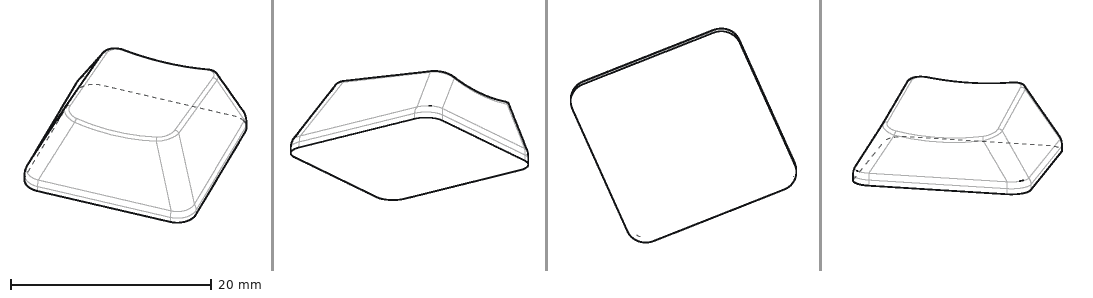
import cadquery as cq
import math

BASE_SIZE = 18.16
BASE_CORNER_RADIUS = 2.0
SKIRT_HEIGHT = 0.62

SHOULDER_HEIGHT = 0.7
SHOULDER_STEPS = 2

RIM_TILT = 7.0
RIM_WIDTH = 11.5
RIM_FRONT_Y = -5.35
RIM_BACK_Y = 8.62
RIM_CORNER_RADIUS = 1.8
RIM_HEIGHT = 7.34
TOUCH_FACE_FILLET = 0.4

DISH_RADIUS = 25.0
DISH_DEPTH = 1.02
DISH_LENGTH = 3 * BASE_SIZE

HALF_BASE = BASE_SIZE / 2
TILT_ANGLE = math.radians(RIM_TILT)
SHOULDER_TOP = SKIRT_HEIGHT + SHOULDER_HEIGHT


def rim_plane():
    """Plane of the rim, with its local X along the part's X."""
    normal = (0, math.sin(TILT_ANGLE), math.cos(TILT_ANGLE))
    return cq.Plane(origin=(0, 0, RIM_HEIGHT), xDir=(1, 0, 0), normal=normal)


def rounded_rectangle(plane, width, front_y, back_y, corner_radius):
    """Wire of a rounded rectangle centred on the plane's local X = 0."""
    half = width / 2
    left = -half + corner_radius
    right = half - corner_radius
    front = front_y + corner_radius
    back = back_y - corner_radius
    reach = corner_radius * math.sqrt(0.5)
    outline = (
        cq.Workplane(plane)
        .moveTo(left, front_y)
        .lineTo(right, front_y)
        .threePointArc((right + reach, front - reach), (half, front))
        .lineTo(half, back)
        .threePointArc((right + reach, back + reach), (right, back_y))
        .lineTo(left, back_y)
        .threePointArc((left - reach, back + reach), (-half, back))
        .lineTo(-half, front)
        .threePointArc((left - reach, front - reach), (left, front_y))
        .close()
    )
    return outline.val()


def wall_slope(base_edge, rim_edge, rim_y):
    """Inward run per unit of height of a wall whose rim edge is at rim_y."""
    rim_z = RIM_HEIGHT - rim_y * math.tan(TILT_ANGLE)
    shoulder_middle = SKIRT_HEIGHT + SHOULDER_HEIGHT / 2
    return (base_edge - rim_edge) / (rim_z - shoulder_middle)


def shoulder_section(rise):
    """Outline at a height above the skirt; the inset grows as a parabola up to the wall slope."""
    inset_per_slope = rise**2 / (2 * SHOULDER_HEIGHT)
    rim_middle_y = (RIM_FRONT_Y + RIM_BACK_Y) / 2
    side_inset = inset_per_slope * wall_slope(HALF_BASE, RIM_WIDTH / 2, rim_middle_y)
    front_inset = inset_per_slope * wall_slope(HALF_BASE, -RIM_FRONT_Y, RIM_FRONT_Y)
    back_inset = inset_per_slope * wall_slope(HALF_BASE, RIM_BACK_Y, RIM_BACK_Y)
    return rounded_rectangle(
        cq.Plane.XY(origin=(0, 0, SKIRT_HEIGHT + rise)),
        BASE_SIZE - 2 * side_inset,
        -HALF_BASE + front_inset,
        HALF_BASE - back_inset,
        BASE_CORNER_RADIUS - side_inset,
    )


def make_skirt():
    outline = rounded_rectangle(cq.Plane.XY(), BASE_SIZE, -HALF_BASE, HALF_BASE, BASE_CORNER_RADIUS)
    return cq.Workplane(outline).toPending().extrude(SKIRT_HEIGHT)


def make_shoulder():
    step = SHOULDER_HEIGHT / SHOULDER_STEPS
    sections = [shoulder_section(level * step) for level in range(SHOULDER_STEPS + 1)]
    return cq.Workplane(cq.Solid.makeLoft(sections))


def make_walls():
    """Sloping walls, ruled from the top of the shoulder to the tilted rim."""
    stretch = 1 / math.cos(TILT_ANGLE)
    rim = rounded_rectangle(
        rim_plane(), RIM_WIDTH, RIM_FRONT_Y * stretch, RIM_BACK_Y * stretch, RIM_CORNER_RADIUS
    )
    return cq.Workplane(cq.Solid.makeLoft([shoulder_section(SHOULDER_HEIGHT), rim], True))


def make_dish():
    plane = rim_plane()
    axis_height = DISH_RADIUS - DISH_DEPTH
    start = plane.toWorldCoords((0, -DISH_LENGTH / 2, axis_height))
    return cq.Workplane(cq.Solid.makeCylinder(DISH_RADIUS, DISH_LENGTH, start, plane.yDir))


def round_touch_face(keycap):
    """Round the edge all around the dished touch face."""
    above_shoulder = cq.selectors.BoxSelector(
        (-HALF_BASE, -HALF_BASE, SHOULDER_TOP), (HALF_BASE, HALF_BASE, RIM_HEIGHT + HALF_BASE)
    )
    touch_face = keycap.faces(above_shoulder).faces("%CYLINDER")
    return touch_face.edges().fillet(TOUCH_FACE_FILLET)


dished_walls = round_touch_face(make_walls().cut(make_dish()))
result = make_skirt().union(make_shoulder()).union(dished_walls)